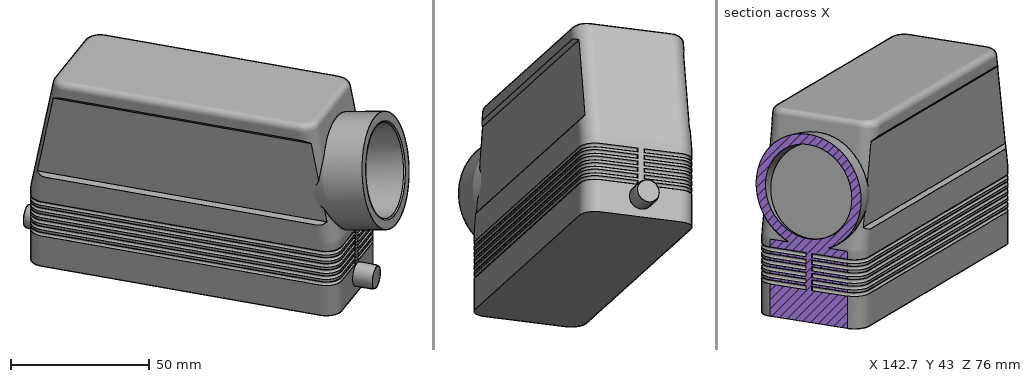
import cadquery as cq
import math

BODY_LENGTH = 120.0
BODY_WIDTH = 43.0
BODY_HEIGHT = 76.0
KINK_HEIGHT = 29.6
LEAN_ANGLE = 11.2
KINK_RADIUS = 6.0
CORNER_RADIUS = 6.0
TOP_RADIUS = 2.5

RECESS_DEPTH = 1.3
RECESS_BOTTOM = 38.0
RECESS_TOP = 68.9

GROOVE_COUNT = 6
GROOVE_PITCH = 2.5
GROOVE_RADIUS = 0.7
GROOVE_START = 13.1
GROOVE_BRIDGE = 2.5

PEG_DIAMETER = 9.0
PEG_SPAN = 135.0
PEG_HEIGHT = 7.5
PEG_CHAMFER_LENGTH = 1.2
PEG_CHAMFER_DEPTH = 0.3

ENTRY_DIAMETER = 43.0
ENTRY_LENGTH = 15.5
ENTRY_BORE = 35.0
ENTRY_CHAMFER = 0.5
ENTRY_CHAMFER_ANGLE = 45.0
ENTRY_REACH = 75.24
ENTRY_MOUTH_HEIGHT = 51.9
ENTRY_TAPER_LENGTH = 9.0
ENTRY_TAPER_ANGLE = 15.0

LEAN = math.radians(LEAN_ANGLE)
HALF_LENGTH = BODY_LENGTH / 2
HALF_WIDTH = BODY_WIDTH / 2
KINK_MARGIN = 1.0


def make_body():
    top_half = HALF_LENGTH - (BODY_HEIGHT - KINK_HEIGHT) * math.tan(LEAN)
    outline = [
        (-HALF_LENGTH, 0),
        (HALF_LENGTH, 0),
        (HALF_LENGTH, KINK_HEIGHT),
        (top_half, BODY_HEIGHT),
        (-top_half, BODY_HEIGHT),
        (-HALF_LENGTH, KINK_HEIGHT),
    ]
    body = cq.Workplane("XZ").polyline(outline).close().extrude(HALF_WIDTH, both=True)
    kink_edges = cq.selectors.BoxSelector(
        (-BODY_LENGTH, -BODY_WIDTH, KINK_HEIGHT - KINK_MARGIN),
        (BODY_LENGTH, BODY_WIDTH, KINK_HEIGHT + KINK_MARGIN),
    )
    body = body.edges("|Y").edges(kink_edges).fillet(KINK_RADIUS)
    body = body.faces("<Y or >Y").edges("not #Z").fillet(CORNER_RADIUS)
    return body.faces(">Z").edges().fillet(TOP_RADIUS)


def make_recess(side):
    """Cutter for the recess on one long side; side is -1 or +1 along Y."""
    floor = side * (HALF_WIDTH - RECESS_DEPTH)
    outside = side * (HALF_WIDTH + RECESS_DEPTH)
    border = 2 * RECESS_DEPTH
    profile = [
        (floor, RECESS_BOTTOM),
        (floor, RECESS_TOP),
        (outside, RECESS_TOP + border),
        (outside, RECESS_BOTTOM - border),
    ]
    return cq.Workplane("YZ").polyline(profile).close().extrude(HALF_LENGTH, both=True)


def make_groove(height):
    """Cutter for one half-round grip groove, interrupted at the middle of both ends."""
    outline = (
        cq.Workplane("XY", origin=(0, 0, height))
        .rect(BODY_LENGTH, BODY_WIDTH)
        .extrude(GROOVE_RADIUS)
        .edges("|Z")
        .fillet(CORNER_RADIUS)
        .faces("<Z")
        .wires()
    )
    ring = cq.Workplane("YZ", origin=(0, -HALF_WIDTH, height)).circle(GROOVE_RADIUS).sweep(outline)
    bridge = cq.Workplane("XY", origin=(0, 0, height)).box(2 * BODY_LENGTH, GROOVE_BRIDGE, 2 * GROOVE_PITCH)
    return ring.cut(bridge)


def make_pegs():
    """One bar through the body whose two tapered ends stand out as the pegs."""
    half_span = PEG_SPAN / 2
    taper_start = half_span - PEG_CHAMFER_LENGTH
    radius = PEG_DIAMETER / 2
    tip_radius = radius - PEG_CHAMFER_DEPTH
    profile = [
        (-half_span, 0),
        (-half_span, tip_radius),
        (-taper_start, radius),
        (taper_start, radius),
        (half_span, tip_radius),
        (half_span, 0),
    ]
    return (
        cq.Workplane("XZ", origin=(0, 0, PEG_HEIGHT))
        .polyline(profile)
        .close()
        .revolve(360, (0, 0, 0), (1, 0, 0))
    )


def entry_plane():
    """Plane of the entry mouth, with its normal pointing out of the entry."""
    mouth_x = ENTRY_REACH - ENTRY_DIAMETER / 2 * math.sin(LEAN)
    return cq.Plane(
        origin=(mouth_x, 0, ENTRY_MOUTH_HEIGHT),
        xDir=(0, 1, 0),
        normal=(math.cos(LEAN), 0, math.sin(LEAN)),
    )


def make_entry():
    mouth = cq.Workplane(entry_plane())
    barrel = mouth.circle(ENTRY_DIAMETER / 2).extrude(-ENTRY_LENGTH)
    taper = (
        mouth.workplane(offset=-ENTRY_LENGTH)
        .circle(ENTRY_DIAMETER / 2)
        .extrude(-ENTRY_TAPER_LENGTH, taper=ENTRY_TAPER_ANGLE)
    )
    return barrel.union(taper)


def make_entry_bore():
    mouth = cq.Workplane(entry_plane())
    bore = mouth.circle(ENTRY_BORE / 2).extrude(-ENTRY_LENGTH)
    countersink = mouth.circle(ENTRY_BORE / 2 + ENTRY_CHAMFER).extrude(-ENTRY_CHAMFER, taper=ENTRY_CHAMFER_ANGLE)
    return bore.union(countersink)


result = make_body()
for side in (-1, 1):
    result = result.cut(make_recess(side))
for index in range(GROOVE_COUNT):
    result = result.cut(make_groove(GROOVE_START + index * GROOVE_PITCH))
result = result.union(make_pegs()).union(make_entry()).cut(make_entry_bore())